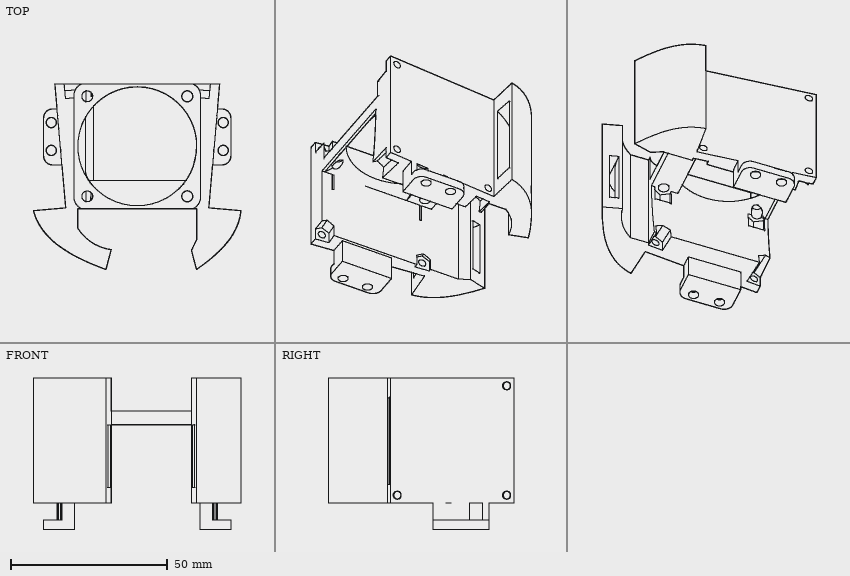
import cadquery as cq
import math

WALL_HEIGHT = 40.0
FRAME_DEPTH = 40.0
HALF_DEPTH = FRAME_DEPTH / 2

PLATE_BOTTOM = 25.0
PLATE_THICKNESS = 4.5
PLATE_TOP = PLATE_BOTTOM + PLATE_THICKNESS
FAN_POCKET = 40.5
FAN_POCKET_RADIUS = 4.0
FAN_OPENING_RADIUS = 19.0
FAN_HOLE_SPACING = 32.0
FAN_HOLE_DIAMETER = 3.45
FAN_NUT_WIDTH = 5.6
FAN_NUT_BOTTOM = 19.0
FUNNEL_LEFT = -16.6
FUNNEL_RIGHT = FAN_OPENING_RADIUS
FUNNEL_FRONT = -10.9
FUNNEL_REAR = FAN_OPENING_RADIUS

WALL_TILT = 5.0
TILT_SLOPE = math.tan(math.radians(WALL_TILT))
WALL_REAR_X = 26.4
WALL_FRONT_Y = -19.65
WALL_FRONT_X = WALL_REAR_X - (HALF_DEPTH - WALL_FRONT_Y) * TILT_SLOPE
WALL_INNER_X = FAN_OPENING_RADIUS
WALL_SKIN = 3.0

BULGE_MIDDLE = (-14.95, 6.0)
BULGE_FOOT_X = -13.95

SCREW_DIAMETER = 2.5
SCREW_INSET = 2.5
SCREW_NUT_WIDTH = 5.0
NUT_POCKET_LENGTH = 12.0

NOZZLE_TIP_X = 33.26
NOZZLE_FRONT_Y = -39.47
LEFT_OUTER_CURVE = [(-30.1, -27.0), (-22.4, -33.7), (-10.0, NOZZLE_FRONT_Y)]
LEFT_INNER_END = (-8.3, -33.05)
LEFT_INNER_MIDDLE = (-14.5, -30.75)
LEFT_INNER_START_Y = -26.2
RIGHT_OUTER_CURVE = [(30.3, -28.7), (24.5, -35.2), (18.95, NOZZLE_FRONT_Y)]
RIGHT_INNER_END = (17.3, -33.3)
RIGHT_INNER_START_Y = -29.8

SLOT_WIDTH = 3.0
SLOT_INLET_BOTTOM = 6.0
SLOT_INLET_TOP = 34.0
SLOT_OUTLET_BOTTOM = 5.0
SLOT_OUTLET_TOP = PLATE_BOTTOM
SLOT_OUTLET_Y = -34.2
SLOT_INLET_INNER_X = 25.0
SLOT_INLET_OUTER_X = 31.8
SLOT_END_NEAR = 0.18
LEFT_SLOT_INNER_BEND = (-20.0, -30.0)
LEFT_SLOT_OUTER_BEND = (-22.5, -31.8)
RIGHT_SLOT_INNER_BEND = (23.3, -29.0)
RIGHT_SLOT_OUTER_BEND = (26.9, -30.6)

FOOT_BOTTOM = -8.5
FOOT_THICKNESS = 3.1
FOOT_TOP = FOOT_BOTTOM + FOOT_THICKNESS
FOOT_INNER_X = 20.0
FOOT_OUTER_X = 30.0
FOOT_LENGTH = 18.0
FOOT_CENTER_Y = 3.0
FOOT_CORNER_RADIUS = 3.0
FOOT_HOLE_X = 27.5
FOOT_HOLE_CENTER_Y = 3.15
FOOT_HOLE_SPACING = 8.9
FOOT_HOLE_DIAMETER = 3.2
SCREW_HEAD_RADIUS = 3.05


def box(x_range, y_range, z_range):
    return (
        cq.Workplane("XY")
        .box(
            x_range[1] - x_range[0],
            y_range[1] - y_range[0],
            z_range[1] - z_range[0],
            centered=False,
        )
        .translate((x_range[0], y_range[0], z_range[0]))
    )


def wall_outer_x(y):
    return WALL_REAR_X - (HALF_DEPTH - y) * TILT_SLOPE


def nozzle_back_y(x):
    return WALL_FRONT_Y - (x - WALL_FRONT_X) * TILT_SLOPE


def along(start, end, fraction):
    return tuple(a + (b - a) * fraction for a, b in zip(start, end))


def mirrored_x(body):
    return body.mirror("YZ")


def right_wall():
    return (
        cq.Workplane("XY")
        .polyline(
            [
                (WALL_INNER_X, HALF_DEPTH),
                (WALL_REAR_X, HALF_DEPTH),
                (WALL_FRONT_X, WALL_FRONT_Y),
                (WALL_FRONT_X, -HALF_DEPTH),
                (WALL_INNER_X, -HALF_DEPTH),
            ]
        )
        .close()
        .extrude(WALL_HEIGHT)
    )


def left_bulge():
    profile = (
        cq.Workplane("XZ", origin=(0, HALF_DEPTH, 0))
        .moveTo(-WALL_INNER_X, 0)
        .lineTo(BULGE_FOOT_X, 0)
        .threePointArc(BULGE_MIDDLE, (FUNNEL_LEFT, PLATE_BOTTOM))
        .lineTo(-WALL_INNER_X, PLATE_BOTTOM)
        .close()
    )
    return profile.extrude(FRAME_DEPTH)


def left_nozzle():
    return (
        cq.Workplane("XY")
        .moveTo(-WALL_INNER_X, -HALF_DEPTH)
        .lineTo(-WALL_INNER_X, WALL_FRONT_Y)
        .lineTo(-WALL_FRONT_X, WALL_FRONT_Y)
        .lineTo(-NOZZLE_TIP_X, nozzle_back_y(NOZZLE_TIP_X))
        .spline(LEFT_OUTER_CURVE, includeCurrent=True)
        .lineTo(*LEFT_INNER_END)
        .threePointArc(LEFT_INNER_MIDDLE, (-WALL_INNER_X, LEFT_INNER_START_Y))
        .close()
        .extrude(WALL_HEIGHT)
    )


def right_nozzle():
    return (
        cq.Workplane("XY")
        .moveTo(WALL_INNER_X, -HALF_DEPTH)
        .lineTo(WALL_INNER_X, WALL_FRONT_Y)
        .lineTo(WALL_FRONT_X, WALL_FRONT_Y)
        .lineTo(NOZZLE_TIP_X, nozzle_back_y(NOZZLE_TIP_X))
        .spline(RIGHT_OUTER_CURVE, includeCurrent=True)
        .lineTo(*RIGHT_INNER_END)
        .lineTo(WALL_INNER_X, RIGHT_INNER_START_Y)
        .close()
        .extrude(WALL_HEIGHT)
    )


def slot_side_profile():
    """Heights of the air slots: tall at the inlet, tapering to the outlet."""
    return (
        cq.Workplane("YZ", origin=(-2 * NOZZLE_TIP_X, 0, 0))
        .polyline(
            [
                (WALL_FRONT_Y, SLOT_INLET_BOTTOM),
                (WALL_FRONT_Y, SLOT_INLET_TOP),
                (SLOT_OUTLET_Y, SLOT_OUTLET_TOP),
                (NOZZLE_FRONT_Y, SLOT_OUTLET_TOP),
                (NOZZLE_FRONT_Y, SLOT_OUTLET_BOTTOM),
                (SLOT_OUTLET_Y, SLOT_OUTLET_BOTTOM),
            ]
        )
        .close()
        .extrude(4 * NOZZLE_TIP_X)
    )


def air_slot(side, inner_end, outer_end, inner_bend, outer_bend):
    """Curved slot from the back face of a nozzle to its end face; side is -1 or +1."""
    end_length = math.dist(inner_end, outer_end)
    near = along(inner_end, outer_end, SLOT_END_NEAR)
    far = along(inner_end, outer_end, SLOT_END_NEAR + SLOT_WIDTH / end_length)
    inlet_inner_y = nozzle_back_y(SLOT_INLET_INNER_X)
    inlet_outer_y = nozzle_back_y(SLOT_INLET_OUTER_X)
    plan = (
        cq.Workplane("XY")
        .moveTo(side * SLOT_INLET_INNER_X, inlet_inner_y)
        .threePointArc(inner_bend, near)
        .lineTo(*far)
        .threePointArc(outer_bend, (side * SLOT_INLET_OUTER_X, inlet_outer_y))
        .close()
        .extrude(WALL_HEIGHT)
    )
    return plan.intersect(slot_side_profile())


def fan_block():
    """Solid between the walls; the fan pocket turns it into the plate with four corner posts."""
    return box(
        (-WALL_INNER_X, WALL_INNER_X), (-HALF_DEPTH, HALF_DEPTH), (PLATE_BOTTOM, WALL_HEIGHT)
    )


def fan_pocket():
    return (
        cq.Workplane("XY", origin=(0, 0, PLATE_TOP))
        .rect(FAN_POCKET, FAN_POCKET)
        .extrude(WALL_HEIGHT - PLATE_TOP)
        .edges("|Z")
        .fillet(FAN_POCKET_RADIUS)
    )


def funnel():
    """Air passage from the round fan opening down to an off-centre rectangle."""
    width = FUNNEL_RIGHT - FUNNEL_LEFT
    depth = FUNNEL_REAR - FUNNEL_FRONT
    shift_x = (FUNNEL_RIGHT + FUNNEL_LEFT) / 2
    shift_y = (FUNNEL_REAR + FUNNEL_FRONT) / 2
    return (
        cq.Workplane("XY", origin=(0, 0, PLATE_TOP))
        .circle(FAN_OPENING_RADIUS)
        .workplane(offset=-PLATE_THICKNESS)
        .center(shift_x, shift_y)
        .rect(width, depth)
        .loft(ruled=True)
    )


def fan_screw_holes():
    """Four through holes, each with a hexagonal nut recess below the plate."""
    centers = (
        cq.Workplane("XY", origin=(0, 0, FAN_NUT_BOTTOM))
        .rect(FAN_HOLE_SPACING, FAN_HOLE_SPACING, forConstruction=True)
        .vertices()
    )
    holes = centers.circle(FAN_HOLE_DIAMETER / 2).extrude(PLATE_TOP - FAN_NUT_BOTTOM)
    nut_corner_diameter = 2 * FAN_NUT_WIDTH / math.sqrt(3)
    nuts = centers.polygon(6, nut_corner_diameter).extrude(PLATE_BOTTOM - FAN_NUT_BOTTOM)
    return holes.union(nuts)


def wall_screw(y, z):
    """Screw hole and open-ended nut pocket in the right wall, square to its outer face."""
    open_direction = 1 if z > WALL_HEIGHT / 2 else -1
    plane = cq.Plane(
        origin=(wall_outer_x(y), y, z),
        xDir=(-TILT_SLOPE, -1, 0),
        normal=(-1, TILT_SLOPE, 0),
    )
    hole = cq.Workplane(plane).circle(SCREW_DIAMETER / 2).extrude(WALL_SKIN)
    corner = SCREW_NUT_WIDTH / math.sqrt(3)
    half_width = SCREW_NUT_WIDTH / 2
    pocket = (
        cq.Workplane(plane)
        .workplane(offset=WALL_SKIN)
        .polyline(
            [
                (0, -open_direction * corner),
                (half_width, -open_direction * corner / 2),
                (half_width, open_direction * SCREW_NUT_WIDTH),
                (-half_width, open_direction * SCREW_NUT_WIDTH),
                (-half_width, -open_direction * corner / 2),
            ]
        )
        .close()
        .extrude(NUT_POCKET_LENGTH)
    )
    return hole.union(pocket)


def right_foot():
    y_front = FOOT_CENTER_Y - FOOT_LENGTH / 2
    y_rear = FOOT_CENTER_Y + FOOT_LENGTH / 2
    flange = box((FOOT_INNER_X, FOOT_OUTER_X), (y_front, y_rear), (FOOT_BOTTOM, FOOT_TOP))
    flange = flange.edges("|Z and >X").fillet(FOOT_CORNER_RADIUS)
    post = (
        cq.Workplane("XY", origin=(0, 0, FOOT_TOP))
        .polyline(
            [
                (FOOT_INNER_X, y_front),
                (wall_outer_x(y_front), y_front),
                (wall_outer_x(y_rear), y_rear),
                (FOOT_INNER_X, y_rear),
            ]
        )
        .close()
        .extrude(-FOOT_TOP)
    )
    hole_points = [
        (FOOT_HOLE_X, FOOT_HOLE_CENTER_Y - FOOT_HOLE_SPACING / 2),
        (FOOT_HOLE_X, FOOT_HOLE_CENTER_Y + FOOT_HOLE_SPACING / 2),
    ]
    heads = (
        cq.Workplane("XY", origin=(0, 0, FOOT_TOP))
        .pushPoints(hole_points)
        .circle(SCREW_HEAD_RADIUS)
        .extrude(-FOOT_TOP)
    )
    holes = (
        cq.Workplane("XY", origin=(0, 0, FOOT_BOTTOM))
        .pushPoints(hole_points)
        .circle(FOOT_HOLE_DIAMETER / 2)
        .extrude(FOOT_THICKNESS)
    )
    return flange.union(post.cut(heads)).cut(holes)


body = right_wall().union(mirrored_x(right_wall()))
body = body.union(fan_block()).union(left_bulge())
body = body.union(left_nozzle()).union(right_nozzle())
body = body.cut(fan_pocket()).cut(funnel()).cut(fan_screw_holes())

low_z = SCREW_INSET
high_z = WALL_HEIGHT - SCREW_INSET
rear_y = HALF_DEPTH - SCREW_INSET
for y, z in [(rear_y, low_z), (rear_y, high_z), (-rear_y, low_z)]:
    screw = wall_screw(y, z)
    body = body.cut(screw).cut(mirrored_x(screw))

left_slot = air_slot(
    -1, LEFT_INNER_END, LEFT_OUTER_CURVE[-1], LEFT_SLOT_INNER_BEND, LEFT_SLOT_OUTER_BEND
)
right_slot = air_slot(
    1, RIGHT_INNER_END, RIGHT_OUTER_CURVE[-1], RIGHT_SLOT_INNER_BEND, RIGHT_SLOT_OUTER_BEND
)
body = body.cut(left_slot).cut(right_slot)

result = body.union(right_foot()).union(mirrored_x(right_foot()))